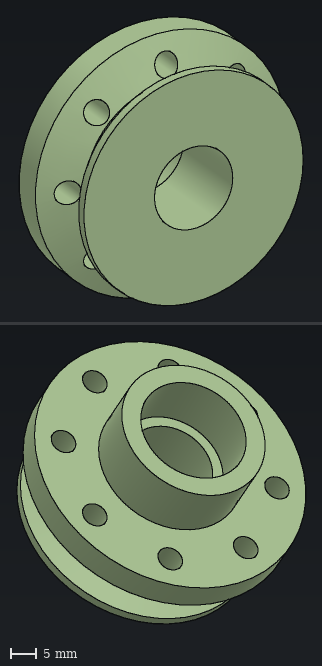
import cadquery as cq

flange_radius = 28.6
hub_radius = 30.2 / 2
groove_radius = 38.65 / 2
rim_radius = 50.0 / 2
bore_radius = 17.85 / 2
counterbore_radius = 22.2 / 2

total_length = 31.9
hub_length = 12.75
flange_width = 6.4
flange_taper = 3.25
groove_width = 5.5
rim_width = 2.05
counterbore_depth = hub_length

hole_count = 8
hole_diameter = 5.15
hole_circle_radius = 22.45

flange_end = hub_length + flange_width
groove_start = flange_end + flange_taper
groove_end = groove_start + groove_width
rim_start = total_length - rim_width


def pulley_body():
    """Revolve the hub, flange, tapered groove and rim about X."""
    profile = (
        cq.Workplane("XY")
        .moveTo(0, counterbore_radius)
        .lineTo(0, hub_radius)
        .lineTo(hub_length, hub_radius)
        .lineTo(hub_length, flange_radius)
        .lineTo(flange_end, flange_radius)
        .lineTo(groove_start, groove_radius)
        .lineTo(groove_end, groove_radius)
        .lineTo(rim_start, rim_radius)
        .lineTo(total_length, rim_radius)
        .lineTo(total_length, bore_radius)
        .lineTo(counterbore_depth, bore_radius)
        .lineTo(counterbore_depth, counterbore_radius)
        .close()
    )
    return profile.revolve(360, (0, 0, 0), (1, 0, 0))


def flange_holes():
    """Ring of cylinders from the flange face to the groove, stopping short of the rim."""
    return (
        cq.Workplane("YZ", origin=(hub_length, 0, 0))
        .polarArray(hole_circle_radius, 0, 360, hole_count)
        .circle(hole_diameter / 2)
        .extrude(groove_start - hub_length)
    )


result = pulley_body().cut(flange_holes())